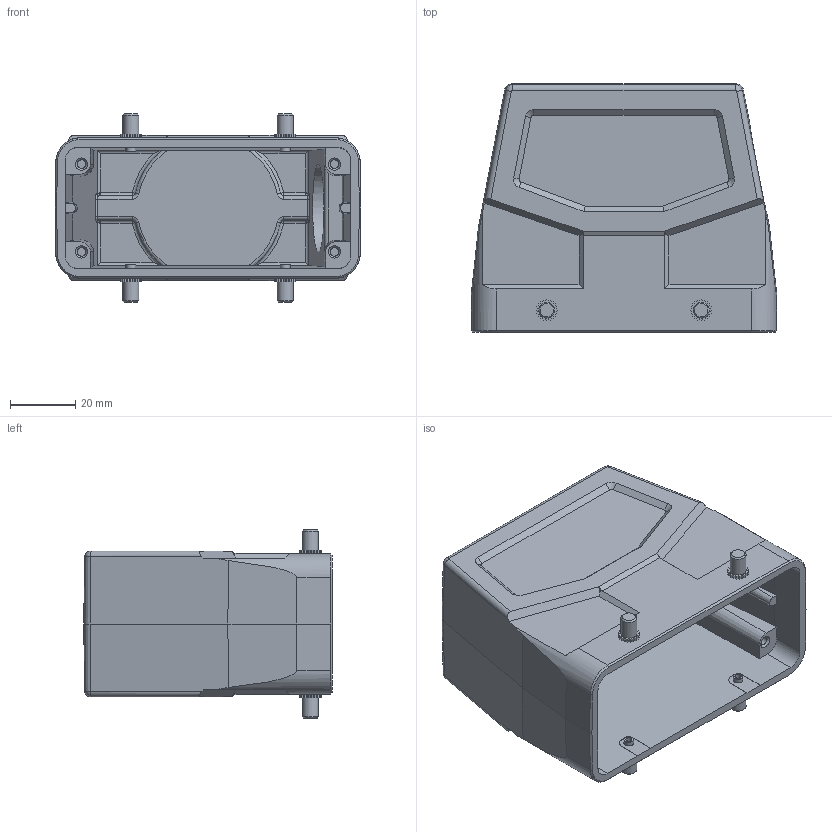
import cadquery as cq
import math

LENGTH = 76.0
HALF_WIDTH = 46.75
MOUTH_HALF_HEIGHT = 21.45
COVER_HALF_HEIGHT = 22.3
MOUTH_CORNER_RADIUS = 7.5
RIM_CHAMFER = 0.5
REACH = 60.0
NEAR = 0.01

STRAIGHT_END = 10.9
BREAK_Y = 31.9
BREAK_HALF_WIDTH = 44.5
END_HALF_WIDTH = 36.1
CORNER_RADIUS = 2.5
SIDE_DRAFT = 1.0

COVER_FRONT_Y = 30.9
COVER_FRONT_HALF_WIDTH = 12.5
COVER_EDGE_FILLET = 1.7
COVER_SIDE_Y = 41.3
COVER_SIDE_X = 42.7
COVER_STEP_DRAFT = 38.0
FRONT_STEP_RUN = 1.5

PANEL_INNER_X = 12.4
PANEL_FRONT_Y = 13.2
PANEL_FLOOR_Z = 20.1
PANEL_WALL_DRAFT = 45.0

LABEL_REAR_Y = 68.0
LABEL_REAR_HALF_WIDTH = 29.7
LABEL_SIDE_Y = 45.0
LABEL_SIDE_HALF_WIDTH = 34.1
LABEL_FRONT_Y = 36.8
LABEL_FRONT_HALF_WIDTH = 12.2
LABEL_DEPTH = 1.5
LABEL_WALL_RUN = 1.7
LABEL_CORNER_RADIUS = 2.6

WALL = 3.1
CAVITY_DEPTH = 72.5
CAVITY_MOUTH_HALF_HEIGHT = 18.55
CAVITY_END_HALF_HEIGHT = 17.6
CAVITY_CORNER_RADIUS = 4.0
CAVITY_END_FILLET = 1.0
PAD_END_FILLET = 0.7

PAD_HEIGHT = 3.5
PAD_RADIUS = 22.6
PAD_BAR_HALF_HEIGHT = 3.7
PAD_EDGE_FILLET = 1.0

ENTRY_WALL_FRONT_Y = 34.0
ENTRY_WALL_FRONT_X = 35.6
ENTRY_WALL_END_X = 30.6
ENTRY_WALL_FILLET = 1.3
ENTRY_DIAMETER = 26.9
ENTRY_Y = 48.5

POST_FRONT_Y = 10.0
POST_INNER_X = 36.0
POST_INNER_Z = 10.35
POST_FILLET = 3.0
POST_HOLE_DIAMETER = 2.65
POST_HOLE_MOUTH_DIAMETER = 3.8
POST_HOLE_BEVEL_ANGLE = 45.0
POST_HOLE_DEPTH = 12.0
POST_HOLE_X = 38.65
POST_HOLE_Z = 13.4
POST_DRAFT = 1.0
RIB_TIP_X = 40.5
RIB_RADIUS = 1.5

PIN_X = 23.6
PIN_Y = 6.7
PIN_DIAMETER = 4.9
PIN_TIP_Z = 28.75
PIN_TIP_CHAMFER = 0.4
COLLAR_DIAMETER = 6.5
COLLAR_ROOT_DIAMETER = 5.8
COLLAR_TOP_Z = 22.5
COLLAR_TEETH = 20
COLLAR_SEAT_DEPTH = 1.9
TAIL_DIAMETER = 3.0
TAIL_TIP_Z = 17.2
TAIL_BORE_DIAMETER = 1.9
TAIL_BORE_DEPTH = 1.5
SEAT_RADIUS = 2.85


def mirrored(half):
    """Closed outline from its +X half, listed from front to rear."""
    return half + [(-x, y) for x, y in reversed(half)]


def both_sides(solid):
    """The solid together with its mirror image about Z = 0."""
    return solid.union(solid.mirror("XY"))


def side_outline():
    """Tapering body plan, drafted away from the parting plane; runs on past the mouth."""
    front_slope = (HALF_WIDTH - BREAK_HALF_WIDTH) / (BREAK_Y - STRAIGHT_END)
    half = [
        (BREAK_HALF_WIDTH + front_slope * (BREAK_Y + REACH), -REACH),
        (BREAK_HALF_WIDTH, BREAK_Y),
        (END_HALF_WIDTH, LENGTH),
    ]
    plan = cq.Sketch().polygon(mirrored(half) + half[:1])
    plan = plan.reset().vertices(">Y").fillet(CORNER_RADIUS)
    upper = cq.Workplane("XY").placeSketch(plan).extrude(COVER_HALF_HEIGHT, taper=SIDE_DRAFT)
    return both_sides(upper)


def mouth_section():
    """Round-cornered section of the front, its ends drafted to a slight ridge at Z = 0."""
    draft_inset = MOUTH_HALF_HEIGHT * math.tan(math.radians(SIDE_DRAFT))
    corner_x = HALF_WIDTH - draft_inset
    outline = [
        (HALF_WIDTH, 0),
        (corner_x, MOUTH_HALF_HEIGHT),
        (-corner_x, MOUTH_HALF_HEIGHT),
        (-HALF_WIDTH, 0),
        (-corner_x, -MOUTH_HALF_HEIGHT),
        (corner_x, -MOUTH_HALF_HEIGHT),
    ]
    bar = cq.Workplane("XZ").polyline(outline).close().extrude(-COVER_SIDE_Y)
    bar = bar.edges("|Y and (>Z or <Z)").fillet(MOUTH_CORNER_RADIUS)
    return bar.faces("<Y").edges().chamfer(RIM_CHAMFER)


def panel_cutter():
    """Sunken panel on +X +Z, open towards the side and the cover."""
    depth = MOUTH_HALF_HEIGHT - PANEL_FLOOR_Z
    return (
        cq.Workplane("XY", origin=(PANEL_INNER_X, PANEL_FRONT_Y, MOUTH_HALF_HEIGHT))
        .rect(REACH, REACH, centered=False)
        .extrude(-depth, taper=PANEL_WALL_DRAFT)
    )


def front_body():
    body = mouth_section().intersect(side_outline())
    panels = panel_cutter()
    panels = both_sides(panels.union(panels.mirror("YZ")))
    return body.cut(panels)


def cover():
    slope = (COVER_SIDE_Y - COVER_FRONT_Y) / (COVER_SIDE_X - COVER_FRONT_HALF_WIDTH)
    reach_y = COVER_FRONT_Y + slope * (REACH - COVER_FRONT_HALF_WIDTH)
    half = [
        (COVER_FRONT_HALF_WIDTH, COVER_FRONT_Y),
        (REACH, reach_y),
        (REACH, LENGTH + REACH),
    ]
    top = (
        cq.Workplane("XY", origin=(0, 0, COVER_HALF_HEIGHT))
        .polyline(mirrored(half))
        .close()
        .extrude(PANEL_FLOOR_Z - COVER_HALF_HEIGHT, taper=-COVER_STEP_DRAFT)
    )
    core = cq.Workplane("XY").box(2 * REACH, REACH, 2 * PANEL_FLOOR_Z)
    core = core.translate((0, COVER_SIDE_Y + REACH / 2, 0))
    slab = core.union(both_sides(top)).intersect(side_outline())
    rear = cq.selectors.BoxSelector(
        (-REACH, COVER_SIDE_Y + CORNER_RADIUS, -REACH),
        (REACH, 2 * REACH, REACH),
    )
    slab = slab.faces("<Z or >Z").edges(rear).fillet(COVER_EDGE_FILLET)
    ramp = (
        cq.Workplane("YZ")
        .polyline([
            (COVER_FRONT_Y, COVER_HALF_HEIGHT),
            (COVER_FRONT_Y - FRONT_STEP_RUN, MOUTH_HALF_HEIGHT),
            (COVER_FRONT_Y, MOUTH_HALF_HEIGHT),
        ])
        .close()
        .extrude(COVER_FRONT_HALF_WIDTH, both=True)
    )
    return slab.union(both_sides(ramp))


def label_recess():
    half = [
        (LABEL_FRONT_HALF_WIDTH, LABEL_FRONT_Y),
        (LABEL_SIDE_HALF_WIDTH, LABEL_SIDE_Y),
        (LABEL_REAR_HALF_WIDTH, LABEL_REAR_Y),
    ]
    plan = cq.Sketch().polygon(mirrored(half) + half[:1])
    corners = cq.selectors.BoxSelector((-REACH, LABEL_SIDE_Y - NEAR, -NEAR), (REACH, LENGTH, NEAR))
    plan = plan.reset().vertices(corners).fillet(LABEL_CORNER_RADIUS)
    draft = math.degrees(math.atan2(LABEL_WALL_RUN, LABEL_DEPTH))
    cutter = (
        cq.Workplane("XY", origin=(0, 0, COVER_HALF_HEIGHT))
        .placeSketch(plan)
        .extrude(-LABEL_DEPTH, taper=draft)
    )
    return both_sides(cutter)


def end_wall_slope():
    return (BREAK_HALF_WIDTH - END_HALF_WIDTH) / (LENGTH - BREAK_Y)


def cavity_space():
    """Plain cavity: inner plan of the walls within a section that narrows in height."""
    end_half_width = END_HALF_WIDTH + end_wall_slope() * (LENGTH - CAVITY_DEPTH) - WALL
    half = [
        (HALF_WIDTH - WALL, 0),
        (HALF_WIDTH - WALL, STRAIGHT_END),
        (BREAK_HALF_WIDTH - WALL, BREAK_Y),
        (end_half_width, CAVITY_DEPTH),
    ]
    plan = cq.Workplane("XY").polyline(mirrored(half)).close().extrude(MOUTH_HALF_HEIGHT, both=True)
    width = 2 * (HALF_WIDTH - WALL)
    section = (
        cq.Workplane("XZ")
        .rect(width, 2 * CAVITY_MOUTH_HALF_HEIGHT)
        .workplane(offset=-CAVITY_DEPTH)
        .rect(width, 2 * CAVITY_END_HALF_HEIGHT)
        .loft()
    )
    corners = cq.selectors.BoxSelector((-REACH, NEAR, -REACH), (REACH, CAVITY_DEPTH - NEAR, REACH))
    section = section.edges(corners).fillet(CAVITY_CORNER_RADIUS)
    return plan.intersect(section)


def end_pad():
    base = cq.Workplane("XZ", origin=(0, CAVITY_DEPTH, 0))
    pad = base.circle(PAD_RADIUS).extrude(PAD_HEIGHT)
    pad = pad.union(base.rect(2 * REACH, 2 * PAD_BAR_HALF_HEIGHT).extrude(PAD_HEIGHT))
    pad = pad.edges("|Y").fillet(PAD_EDGE_FILLET)
    return pad.faces("<Y").edges().fillet(PAD_EDGE_FILLET)


def entry_wall():
    return (
        cq.Workplane("XY")
        .polyline([
            (ENTRY_WALL_FRONT_X, ENTRY_WALL_FRONT_Y),
            (REACH, ENTRY_WALL_FRONT_Y),
            (REACH, CAVITY_DEPTH),
            (ENTRY_WALL_END_X, CAVITY_DEPTH),
        ])
        .close()
        .extrude(COVER_HALF_HEIGHT, both=True)
        .edges("|Z and <Y")
        .edges("<X")
        .fillet(ENTRY_WALL_FILLET)
    )


def entry_bore():
    """Round cable entry, square to the +X outer wall."""
    slope = (ENTRY_WALL_FRONT_X - ENTRY_WALL_END_X) / (CAVITY_DEPTH - ENTRY_WALL_FRONT_Y)
    wall_x = ENTRY_WALL_FRONT_X - slope * (ENTRY_Y - ENTRY_WALL_FRONT_Y)
    axis = cq.Vector(1, end_wall_slope(), 0)
    inside = cq.Vector(wall_x, ENTRY_Y, 0) - axis * WALL
    return cq.Workplane(obj=cq.Solid.makeCylinder(ENTRY_DIAMETER / 2, REACH, inside, axis))


def posts():
    post = (
        cq.Workplane("XZ", origin=(POST_INNER_X, POST_FRONT_Y, POST_INNER_Z))
        .sketch()
        .push([(REACH / 2, REACH / 2)])
        .rect(REACH, REACH)
        .reset()
        .vertices("<X and <Y")
        .fillet(POST_FILLET)
        .finalize()
        .extrude(-LENGTH, taper=-POST_DRAFT)
    )
    post = both_sides(post)
    return post.union(post.mirror("YZ"))


def ribs():
    rib = (
        cq.Workplane("XZ", origin=(RIB_TIP_X + RIB_RADIUS, POST_FRONT_Y, 0))
        .circle(RIB_RADIUS)
        .extrude(-LENGTH, taper=-POST_DRAFT)
    )
    web = (
        cq.Workplane("XZ", origin=(RIB_TIP_X + RIB_RADIUS + REACH / 2, POST_FRONT_Y, 0))
        .rect(REACH, 2 * RIB_RADIUS)
        .extrude(-LENGTH, taper=-POST_DRAFT)
    )
    rib = rib.union(web)
    return rib.union(rib.mirror("YZ"))


def pad_bar_ends():
    """Picks the edges where the face of the pad bar meets the side walls."""
    face_y = CAVITY_DEPTH - PAD_HEIGHT
    return cq.selectors.BoxSelector(
        (-REACH, face_y - NEAR, -PAD_BAR_HALF_HEIGHT),
        (REACH, face_y + NEAR, PAD_BAR_HALF_HEIGHT),
    )


def cavity():
    """Everything hollow inside the walls, leaving the pad, posts, ribs and entry wall."""
    space = cavity_space().cut(entry_wall()).cut(end_pad())
    space = space.faces(">Y").edges().fillet(CAVITY_END_FILLET)
    space = space.edges("|Z").edges(pad_bar_ends()).fillet(PAD_END_FILLET)
    return space.cut(posts()).cut(ribs())


def post_holes():
    bevel_width = (POST_HOLE_MOUTH_DIAMETER - POST_HOLE_DIAMETER) / 2
    bevel_depth = bevel_width / math.tan(math.radians(POST_HOLE_BEVEL_ANGLE))
    places = [(sx * POST_HOLE_X, sz * POST_HOLE_Z) for sx in (-1, 1) for sz in (-1, 1)]
    face = cq.Workplane("XZ", origin=(0, POST_FRONT_Y, 0)).pushPoints(places)
    holes = face.circle(POST_HOLE_DIAMETER / 2).extrude(-POST_HOLE_DEPTH)
    bevels = face.circle(POST_HOLE_MOUTH_DIAMETER / 2).extrude(-bevel_depth, taper=POST_HOLE_BEVEL_ANGLE)
    return holes.union(bevels)


def pin_seats():
    """Flat, round-ended seats inside the long walls, open to the mouth."""
    seats = cq.Workplane("XY")
    for x in (-PIN_X, PIN_X):
        seat = cq.Workplane("XY", origin=(x, PIN_Y, 0)).circle(SEAT_RADIUS)
        seat = seat.extrude(CAVITY_MOUTH_HALF_HEIGHT, both=True)
        channel = cq.Workplane("XY").box(2 * SEAT_RADIUS, PIN_Y, 2 * CAVITY_MOUTH_HALF_HEIGHT)
        seats = seats.add(seat.union(channel.translate((x, PIN_Y / 2, 0))))
    return seats.combine()


def collar():
    """Knurled collar seated in the wall."""
    points = []
    for i in range(2 * COLLAR_TEETH):
        radius = (COLLAR_ROOT_DIAMETER if i % 2 else COLLAR_DIAMETER) / 2
        angle = math.pi * i / COLLAR_TEETH
        points.append((radius * math.cos(angle), radius * math.sin(angle)))
    base_z = MOUTH_HALF_HEIGHT - COLLAR_SEAT_DEPTH
    base = cq.Workplane("XY", origin=(0, 0, base_z))
    return base.polyline(points).close().extrude(COLLAR_TOP_Z - base_z)


def pin():
    tail = (
        cq.Workplane("XY", origin=(0, 0, TAIL_TIP_Z))
        .circle(TAIL_DIAMETER / 2)
        .extrude(COLLAR_TOP_Z - TAIL_TIP_Z)
        .faces("<Z")
        .workplane()
        .hole(TAIL_BORE_DIAMETER, TAIL_BORE_DEPTH)
    )
    shank = (
        cq.Workplane("XY", origin=(0, 0, MOUTH_HALF_HEIGHT))
        .circle(PIN_DIAMETER / 2)
        .extrude(PIN_TIP_Z - MOUTH_HALF_HEIGHT)
        .faces(">Z")
        .chamfer(PIN_TIP_CHAMFER)
    )
    return tail.union(collar()).union(shank)


hood = front_body().union(cover())
hood = hood.cut(label_recess())
hood = hood.cut(cavity())
hood = hood.cut(pin_seats())
hood = hood.cut(post_holes())
hood = hood.cut(entry_bore())
for pin_x in (-PIN_X, PIN_X):
    pins = both_sides(pin().translate((pin_x, PIN_Y, 0)))
    hood = hood.union(pins)

result = hood